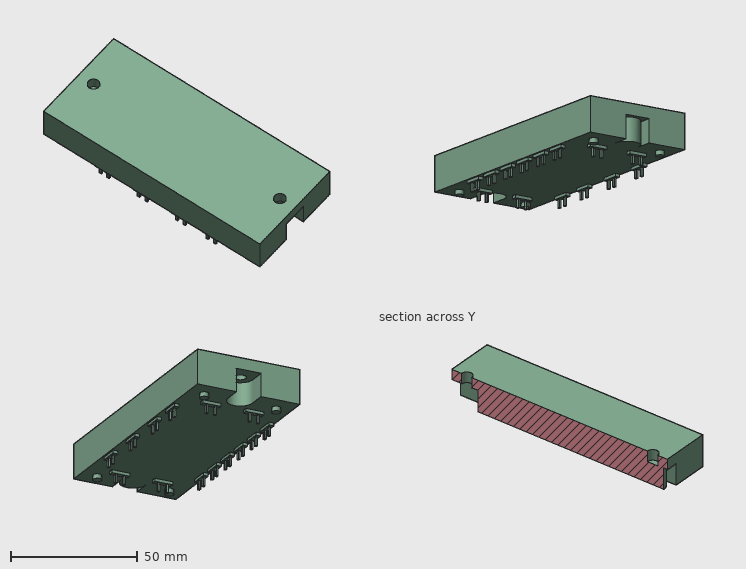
import cadquery as cq


LENGTH = 107.9
WIDTH = 45.4
TOTAL_HEIGHT = 20.0
BODY_HEIGHT = 15.0
PIN_REACH = TOTAL_HEIGHT - BODY_HEIGHT

HOLE_X = 46.5
HOLE_DIAMETER = 5.0
RECESS_WIDTH = 11.0
RECESS_HEIGHT = 10.0

FOOT_DIAMETER = 3.7
FOOT_HEIGHT = 1.9
FOOT_Y = 16.0

OUTER_PIN_X = 30.4
PIN_PITCH = OUTER_PIN_X / 8
PIN_SIZE_X = 1.2
PIN_SIZE_Y = 0.81
PAD_WIDTH = 2.0
PAD_LENGTH = 8.0
PAD_HEIGHT = 1.3

ROW_Y = 21.0
FRONT_PAIRS = (-6.5, -1.5, 3.5, 7.5)
BACK_PAIRS = (-7.5, -4.5, -1.5, 1.5, 4.5, 7.5)
END_X = 39.6
END_PAIRS = (-2.5, 2.5)


def block_below(x, y, size_x, size_y, depth):
    """Block hanging from the underside of the body, centred on (x, y)."""
    return cq.Workplane("XY").center(x, y).rect(size_x, size_y).extrude(-depth)


def pin_pair(x, y, pad_x, pad_y, pin_points):
    """Pad centred on (x, y) with a pin at each of the given points."""
    pair = block_below(x, y, pad_x, pad_y, PAD_HEIGHT)
    for pin_x, pin_y in pin_points:
        pair = pair.union(block_below(pin_x, pin_y, PIN_SIZE_X, PIN_SIZE_Y, PIN_REACH))
    return pair


def pair_along_x(x, y):
    """Pad with two pins side by side along X."""
    pin_points = [(x - PIN_PITCH / 2, y), (x + PIN_PITCH / 2, y)]
    return pin_pair(x, y, PAD_LENGTH, PAD_WIDTH, pin_points)


def pair_along_y(x, y):
    """Pad with two pins side by side along Y."""
    pin_points = [(x, y - PIN_PITCH / 2), (x, y + PIN_PITCH / 2)]
    return pin_pair(x, y, PAD_WIDTH, PAD_LENGTH, pin_points)


def round_post(side):
    """Cylinder filling the round end of a recess."""
    return cq.Workplane("XY").center(side * HOLE_X, 0).circle(RECESS_WIDTH / 2).extrude(RECESS_HEIGHT)


def end_recess(side):
    """Round-ended recess from one end face to the screw hole, open below."""
    run = LENGTH / 2 - HOLE_X
    channel = (
        cq.Workplane("XY")
        .center(side * (HOLE_X + run / 2), 0)
        .rect(run, RECESS_WIDTH)
        .extrude(RECESS_HEIGHT)
    )
    return channel.union(round_post(side))


body = cq.Workplane("XY").box(LENGTH, WIDTH, BODY_HEIGHT, centered=(True, True, False))
for side in (-1, 1):
    body = body.cut(end_recess(side))

web_holes = (
    cq.Workplane("XY", origin=(0, 0, RECESS_HEIGHT))
    .pushPoints([(-HOLE_X, 0), (HOLE_X, 0)])
    .circle(HOLE_DIAMETER / 2)
    .extrude(BODY_HEIGHT - RECESS_HEIGHT)
)
body = body.cut(web_holes)

body = body.union(round_post(-1))

feet = (
    cq.Workplane("XY")
    .rect(2 * HOLE_X, 2 * FOOT_Y, forConstruction=True)
    .vertices()
    .circle(FOOT_DIAMETER / 2)
    .extrude(-FOOT_HEIGHT)
)
body = body.union(feet)

for row_y, pairs in ((-ROW_Y, FRONT_PAIRS), (ROW_Y, BACK_PAIRS)):
    for place in pairs:
        body = body.union(pair_along_x(place * PIN_PITCH, row_y))

for end_x in (-END_X, END_X):
    for place in END_PAIRS:
        body = body.union(pair_along_y(end_x, place * PIN_PITCH))

result = body